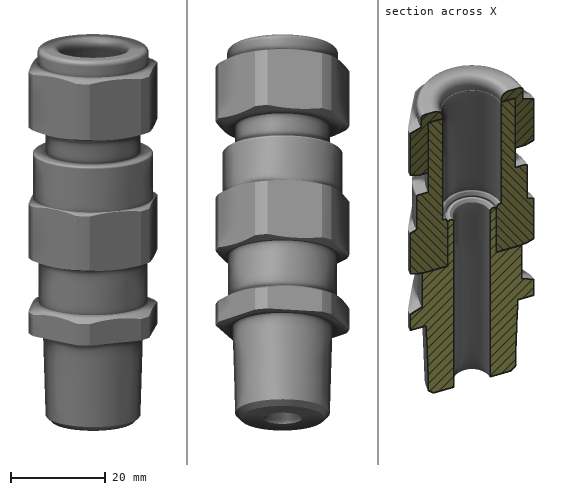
import cadquery as cq
import math

total_height = 81.9
across_flats = 26.0
across_corners = 28.5
bevel_angle = 20.0
adapter_bevel_angle = 25.0

adapter_hex_bottom, adapter_hex_top = 20.15, 26.1
body_hex_bottom, body_hex_top = 35.95, 49.05
nut_hex_bottom, nut_hex_top = 64.6, 78.5
lower_bevel_radius = 12.3

thread_end_radius = 10.1
thread_root_radius = 10.65
thread_chamfer = 1.15
adapter_collar_radius = 11.55
through_bore_radius = 4.1
spigot_radius = 5.65
spigot_top = 49.1
spigot_outer_chamfer = 0.5
spigot_inner_chamfer = 0.6

body_collar_radius = 12.8
body_collar_top = 59.05
body_collar_fillet = 0.5
neck_radius = 10.1
body_bore_radius = 6.6
neck_counterbore_depth = 0.5
seat_radius = 6.15
seat_height = 0.65

lip_radius = 11.8
lip_fillet = 1.1
mouth_radius = 8.8
throat_radius = 6.7
flare_radius = mouth_radius - throat_radius
throat_length = 0.6
nut_ceiling = total_height - flare_radius - throat_length
neck_top = nut_ceiling


def cylinder(radius, bottom, top):
    return cq.Workplane("XY").workplane(offset=bottom).circle(radius).extrude(top - bottom)


def revolve_about_axis(profile):
    """Revolve a closed (radius, height) profile about Z."""
    return profile.close().revolve(360, (0, 0, 0), (0, 1, 0))


def bevelled_hexagon(bottom, top, angle, top_bevel_radius, bottom_bevel_radius=None):
    """Hexagon with flats facing +X and -X, turned corners and conical bevels."""
    corner_radius = across_corners / 2
    slope = math.tan(math.radians(angle))
    top_drop = (corner_radius - top_bevel_radius) * slope
    profile = cq.Workplane("XZ").moveTo(0, bottom)
    if bottom_bevel_radius is None:
        profile = profile.lineTo(corner_radius, bottom)
    else:
        bottom_rise = (corner_radius - bottom_bevel_radius) * slope
        profile = profile.lineTo(bottom_bevel_radius, bottom).lineTo(corner_radius, bottom + bottom_rise)
    profile = profile.lineTo(corner_radius, top - top_drop).lineTo(top_bevel_radius, top).lineTo(0, top)
    turned_blank = revolve_about_axis(profile)

    sharp_diameter = across_flats / math.cos(math.pi / 6)
    prism = (
        cq.Workplane("XY")
        .workplane(offset=bottom)
        .transformed(rotate=(0, 0, 30))
        .polygon(6, sharp_diameter)
        .extrude(top - bottom)
    )
    return prism.intersect(turned_blank)


def make_adapter():
    tapered_thread = revolve_about_axis(
        cq.Workplane("XZ")
        .lineTo(thread_end_radius - thread_chamfer, 0)
        .lineTo(thread_end_radius, thread_chamfer)
        .lineTo(thread_root_radius, adapter_hex_bottom)
        .lineTo(0, adapter_hex_bottom)
    )
    hexagon = bevelled_hexagon(
        adapter_hex_bottom, adapter_hex_top, adapter_bevel_angle, adapter_collar_radius
    )
    collar = cylinder(adapter_collar_radius, adapter_hex_top, body_hex_bottom)
    spigot = cylinder(spigot_radius, body_hex_bottom, spigot_top)
    spigot = spigot.faces(">Z").edges().chamfer(spigot_outer_chamfer)
    bore = cylinder(through_bore_radius, 0, spigot_top)
    solid = tapered_thread.union(hexagon).union(collar).union(spigot).cut(bore)
    bore_rim = solid.faces(">Z").edges(cq.selectors.RadiusNthSelector(0))
    return bore_rim.chamfer(spigot_inner_chamfer)


def make_body():
    hexagon = bevelled_hexagon(
        body_hex_bottom, body_hex_top, bevel_angle, body_collar_radius, lower_bevel_radius
    )
    collar = cylinder(body_collar_radius, body_hex_top, body_collar_top)
    collar = collar.faces(">Z").edges().fillet(body_collar_fillet)
    neck = cylinder(neck_radius, body_collar_top, neck_top)
    seat_top = spigot_top + seat_height
    counterbore_floor = neck_top - neck_counterbore_depth
    bore = revolve_about_axis(
        cq.Workplane("XZ")
        .moveTo(0, body_hex_bottom)
        .lineTo(spigot_radius, body_hex_bottom)
        .lineTo(spigot_radius, spigot_top)
        .lineTo(seat_radius, seat_top)
        .lineTo(body_bore_radius, seat_top)
        .lineTo(body_bore_radius, counterbore_floor)
        .lineTo(throat_radius, counterbore_floor)
        .lineTo(throat_radius, neck_top)
        .lineTo(0, neck_top)
    )
    return hexagon.union(collar).union(neck).cut(bore)


def make_cap_nut():
    hexagon = bevelled_hexagon(nut_hex_bottom, nut_hex_top, bevel_angle, lip_radius, lower_bevel_radius)
    lip = cylinder(lip_radius, nut_hex_top, total_height)
    lip = lip.faces(">Z").edges().fillet(lip_fillet)
    neck_socket = cylinder(neck_radius, nut_hex_bottom, nut_ceiling)
    flare_bottom = total_height - flare_radius
    arc_offset = flare_radius * math.sqrt(0.5)
    flared_mouth = revolve_about_axis(
        cq.Workplane("XZ")
        .moveTo(0, nut_ceiling)
        .lineTo(throat_radius, nut_ceiling)
        .lineTo(throat_radius, flare_bottom)
        .threePointArc(
            (mouth_radius - arc_offset, flare_bottom + arc_offset),
            (mouth_radius, total_height),
        )
        .lineTo(0, total_height)
    )
    return hexagon.union(lip).cut(neck_socket).cut(flared_mouth)


adapter = make_adapter()
body = make_body()
cap_nut = make_cap_nut()

result = cq.Compound.makeCompound([part.solids().val() for part in (adapter, body, cap_nut)])